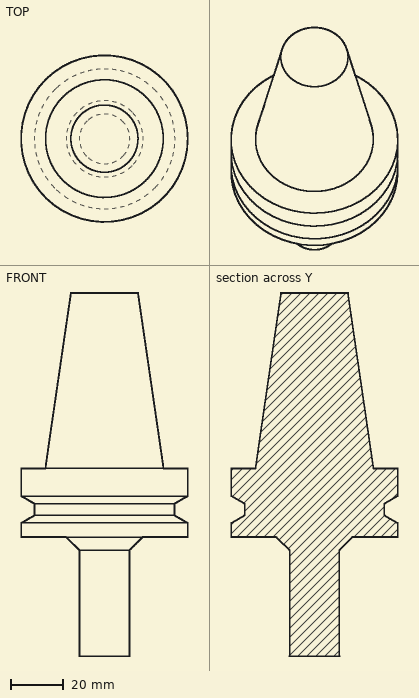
import cadquery as cq

total_length = 137.4

taper_large_diameter = 44.5
taper_small_diameter = 25.4
flange_diameter = 63.0
groove_diameter = 53.0
neck_diameter = 29.0
stem_diameter = 19.0

taper_length = 65.4
collar_height = 1.0
upper_rim_height = 10.5
groove_floor_height = 4.4
groove_flank_height = 2.9
lower_rim_height = 5.4
neck_height = 5.0

flange_top = -collar_height
groove_top = flange_top - upper_rim_height
floor_top = groove_top - groove_flank_height
floor_bottom = floor_top - groove_floor_height
groove_bottom = floor_bottom - groove_flank_height
flange_bottom = groove_bottom - lower_rim_height
neck_bottom = flange_bottom - neck_height
stem_bottom = taper_length - total_length

profile = [
    (taper_small_diameter, taper_length),
    (taper_large_diameter, 0),
    (taper_large_diameter, flange_top),
    (flange_diameter, flange_top),
    (flange_diameter, groove_top),
    (groove_diameter, floor_top),
    (groove_diameter, floor_bottom),
    (flange_diameter, groove_bottom),
    (flange_diameter, flange_bottom),
    (neck_diameter, flange_bottom),
    (stem_diameter, neck_bottom),
    (stem_diameter, stem_bottom),
]
outline = [(diameter / 2, height) for diameter, height in profile]

result = (
    cq.Workplane("XZ")
    .polyline([(0, taper_length)] + outline + [(0, stem_bottom)])
    .close()
    .revolve(360, (0, 0, 0), (0, 1, 0))
)